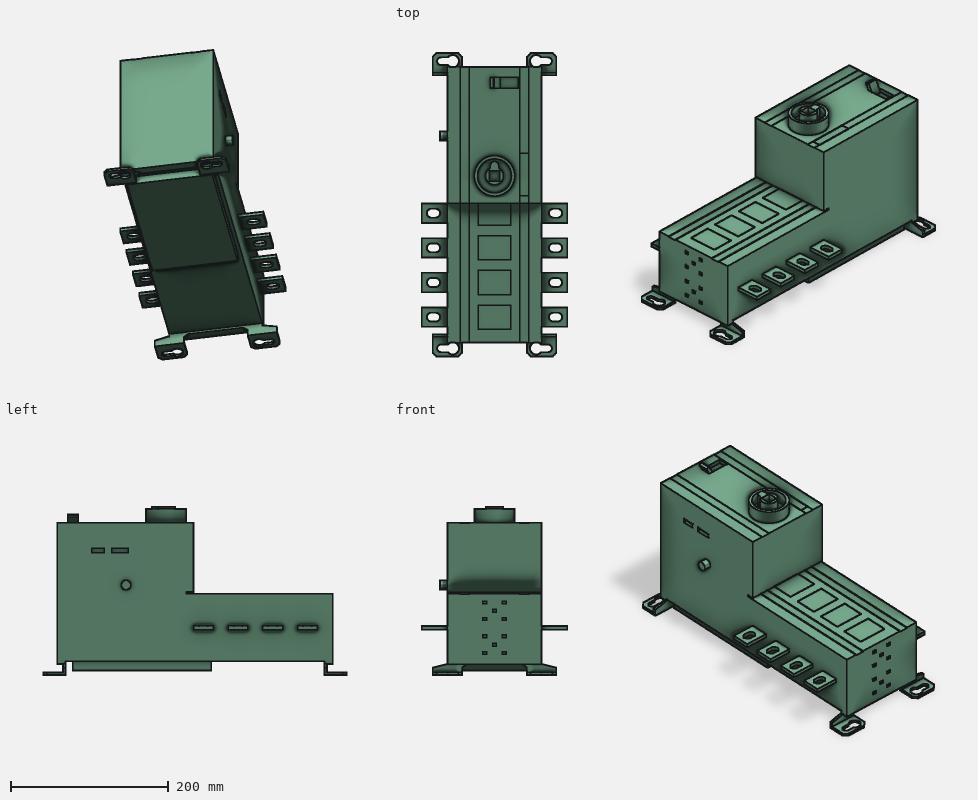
import cadquery as cq

BODY_WIDTH = 120.0
BODY_LENGTH = 350.0
BODY_TOP = 193.5
LOW_TOP = 103.3
STEP_Y = 1.8
UNDERCUT_DEPTH = 9.2
UNDERCUT_HEIGHT = 2.0
BODY_BOTTOM = 17.4
LIP_BOTTOM = 13.7

GROOVE_INNER_X = 32.0
GROOVE_OUTER_X = 43.6
TALL_GROOVE_DEPTH = 0.4
LOW_GROOVE_DEPTH = 1.0
COVER_REAR_Y = 65.2
COVER_FRONT_Y = 11.7
COVER_DEPTH = 0.4
LABEL_WIDTH = 41.0
LABEL_LENGTH = 30.6
LABEL_DEPTH = 0.5

POLE_COUNT = 4
POLE_PITCH = 44.0
FIRST_POLE_Y = -10.7
TAB_TIP_X = 92.5
TAB_WIDTH = 25.0
TAB_THICKNESS = 5.0
TAB_BOTTOM = 57.5
TAB_SLOT_X = 77.5
TAB_SLOT_LENGTH = 16.6
TAB_SLOT_WIDTH = 11.0

OVERALL_LENGTH = 385.5
SHEET = 3.5
BRACKET_OUTER_X = 78.7
BRACKET_INNER_X = 41.2
BRACKET_CORNER = 5.0
WEB_INNER_Y = 164.4
WEB_SIDE_HEIGHT = 9.4
WEB_TOP_OUTER_X = 60.0
WEB_TOP_INNER_X = 35.0
WEB_TOP = 14.1
KEYHOLE_Y = 182.3
KEYHOLE_X = 53.0
KEYHOLE_DIAMETER = 15.5
KEYHOLE_SLOT_WIDTH = 9.5
KEYHOLE_SLOT_END_X = 68.0

BASE_WIDTH = 110.0
BASE_REAR_Y = 155.3
BASE_FRONT_Y = -20.7
BASE_BOTTOM = 5.7

KNOB_Y = 36.7
KNOB_DIAMETER = 51.4
KNOB_BORE = 43.2
KNOB_TOP = 211.0
KNOB_FLOOR = 195.0
HUB_DIAMETER = 22.8
HUB_TOP = 214.0
EAR_DIAMETER = 10.8
EAR_OFFSET = 13.0
SHAFT_SQUARE = 13.5

LATCH_Y = 154.9
LATCH_WIDTH = 13.5
POCKET_LEFT_X = -1.0
POCKET_RIGHT_X = 30.0
POCKET_FLOOR = 188.0
LATCH_TOE_X = 7.5
LATCH_LEDGE_Z = 200.2
LATCH_LEDGE_INNER_X = -4.0
LATCH_LEDGE_OUTER_X = -4.6
LATCH_TIP_X = -5.6
LATCH_TIP_Z = 202.6
LATCH_CREST_X = -1.5
LATCH_CREST_WIDTH = 1.0
LATCH_TOP = 204.0

BUTTON_Y = 87.5
BUTTON_Z = 114.3
BUTTON_DIAMETER = 12.2
BUTTON_TIP_X = -69.3
SIDE_SLOTS = [(123.2, 16.0), (95.3, 20.5)]
SIDE_SLOT_Z = 158.3
SIDE_SLOT_HEIGHT = 5.8
SIDE_SLOT_DEPTH = 5.0

VENT_GROUP_Z = [81.6, 38.6]
VENT_X = 12.2
VENT_RISE = 10.5
VENT_WIDTH = 5.0
VENT_HEIGHT = 3.5
VENT_DEPTH = 3.0

HALF_WIDTH = BODY_WIDTH / 2
HALF_LENGTH = BODY_LENGTH / 2
UNDERCUT_TOP = LOW_TOP + UNDERCUT_HEIGHT
UNDERCUT_BACK_Y = STEP_Y + UNDERCUT_DEPTH
POLE_YS = [FIRST_POLE_Y - i * POLE_PITCH for i in range(POLE_COUNT)]


def block(x_range, y_range, z_range):
    """Box between the given limits on each axis."""
    sizes = [max(r) - min(r) for r in (x_range, y_range, z_range)]
    corner = (min(x_range), min(y_range), min(z_range))
    return cq.Workplane("XY").box(*sizes, centered=False).translate(corner)


def cylinder(x, y, diameter, bottom, top):
    """Upright cylinder."""
    return cq.Workplane("XY", origin=(x, y, bottom)).circle(diameter / 2).extrude(top - bottom)


def around(center, size):
    """Limits of a span centred on a coordinate."""
    return (center - size / 2, center + size / 2)


def housing():
    """Stepped side profile extruded across the width."""
    profile = [
        (HALF_LENGTH, LIP_BOTTOM),
        (HALF_LENGTH, BODY_TOP),
        (STEP_Y, BODY_TOP),
        (STEP_Y, UNDERCUT_TOP),
        (UNDERCUT_BACK_Y, UNDERCUT_TOP),
        (UNDERCUT_BACK_Y, LOW_TOP),
        (-HALF_LENGTH, LOW_TOP),
        (-HALF_LENGTH, LIP_BOTTOM),
        (-WEB_INNER_Y, LIP_BOTTOM),
        (-WEB_INNER_Y, BODY_BOTTOM),
        (WEB_INNER_Y, BODY_BOTTOM),
        (WEB_INNER_Y, LIP_BOTTOM),
    ]
    return cq.Workplane("YZ").polyline(profile).close().extrude(HALF_WIDTH, both=True)


def top_recesses():
    """Grooves along both top faces, the cover seat and the pole label recesses."""
    low_span = (-HALF_LENGTH, UNDERCUT_BACK_Y)
    tall_span = (STEP_Y, HALF_LENGTH)
    cover_span = (COVER_FRONT_Y, COVER_REAR_Y)
    right_groove = (GROOVE_INNER_X, GROOVE_OUTER_X)
    left_groove = (-GROOVE_OUTER_X, -GROOVE_INNER_X)

    seat_floor = BODY_TOP - TALL_GROOVE_DEPTH - COVER_DEPTH
    cuts = block(right_groove, cover_span, (seat_floor, BODY_TOP))
    for groove in (left_groove, right_groove):
        cuts = cuts.union(block(groove, low_span, (LOW_TOP - LOW_GROOVE_DEPTH, LOW_TOP)))
        cuts = cuts.union(block(groove, tall_span, (BODY_TOP - TALL_GROOVE_DEPTH, BODY_TOP)))
    for y in POLE_YS:
        label = block(around(0, LABEL_WIDTH), around(y, LABEL_LENGTH), (LOW_TOP - LABEL_DEPTH, LOW_TOP))
        cuts = cuts.union(label)
    return cuts


def front_vents():
    """Vents in the front face, each group laid out like the five on a die."""
    offsets = [(0, 0)]
    offsets += [(sx * VENT_X, sz * VENT_RISE) for sx in (-1, 1) for sz in (-1, 1)]
    points = [(x, z + dz) for z in VENT_GROUP_Z for x, dz in offsets]
    face = cq.Workplane("XZ", origin=(0, -HALF_LENGTH, 0))
    return face.pushPoints(points).rect(VENT_WIDTH, VENT_HEIGHT).extrude(-VENT_DEPTH)


def side_slots():
    """Blind slots in the left side face."""
    cuts = cq.Workplane("XY")
    for y, length in SIDE_SLOTS:
        depth = (-HALF_WIDTH, -HALF_WIDTH + SIDE_SLOT_DEPTH)
        cuts = cuts.union(block(depth, around(y, length), around(SIDE_SLOT_Z, SIDE_SLOT_HEIGHT)))
    return cuts


def button():
    """Push button standing out of the left side face."""
    start = cq.Workplane("YZ", origin=(BUTTON_TIP_X, BUTTON_Y, BUTTON_Z))
    return start.circle(BUTTON_DIAMETER / 2).extrude(-HALF_WIDTH - BUTTON_TIP_X)


def terminal_tabs():
    """Slotted terminal tabs on both sides of every pole."""
    tabs = cq.Workplane("XY")
    for side in (-1, 1):
        for y in POLE_YS:
            span = (side * HALF_WIDTH, side * TAB_TIP_X)
            tab = block(span, around(y, TAB_WIDTH), (TAB_BOTTOM, TAB_BOTTOM + TAB_THICKNESS))
            start = cq.Workplane("XY", origin=(side * TAB_SLOT_X, y, TAB_BOTTOM))
            tabs = tabs.union(tab.cut(start.slot2D(TAB_SLOT_LENGTH, TAB_SLOT_WIDTH).extrude(TAB_THICKNESS)))
    return tabs


def bracket():
    """Angle bracket of the +X +Y corner: a foot with a keyhole and a sloping web."""
    foot = block((BRACKET_INNER_X, BRACKET_OUTER_X), (WEB_INNER_Y, OVERALL_LENGTH / 2), (0, SHEET))
    foot = foot.edges("|Z and >Y").chamfer(BRACKET_CORNER)
    slot = block((KEYHOLE_X, KEYHOLE_SLOT_END_X), around(KEYHOLE_Y, KEYHOLE_SLOT_WIDTH), (0, SHEET))
    slot = slot.union(cylinder(KEYHOLE_SLOT_END_X, KEYHOLE_Y, KEYHOLE_SLOT_WIDTH, 0, SHEET))
    slot = slot.union(cylinder(KEYHOLE_X, KEYHOLE_Y, KEYHOLE_DIAMETER, 0, SHEET))
    outline = [
        (BRACKET_INNER_X, 0),
        (BRACKET_OUTER_X, 0),
        (BRACKET_OUTER_X, WEB_SIDE_HEIGHT),
        (WEB_TOP_OUTER_X, WEB_TOP),
        (WEB_TOP_INNER_X, WEB_TOP),
        (BRACKET_INNER_X, WEB_SIDE_HEIGHT),
    ]
    web = cq.Workplane("XZ", origin=(0, WEB_INNER_Y, 0)).polyline(outline).close().extrude(-SHEET)
    return foot.cut(slot).union(web)


def brackets():
    """The corner bracket mirrored to all four corners."""
    rear = bracket()
    rear = rear.union(rear.mirror("YZ"))
    return rear.union(rear.mirror("XZ"))


def base_plate():
    """Plate under the rear half of the housing."""
    return block(around(0, BASE_WIDTH), (BASE_FRONT_Y, BASE_REAR_Y), (BASE_BOTTOM, BODY_BOTTOM))


def handle_socket():
    """Open ring with an eared hub and a square shaft hole."""
    ring = cylinder(0, KNOB_Y, KNOB_DIAMETER, BODY_TOP, KNOB_TOP)
    ring = ring.cut(cylinder(0, KNOB_Y, KNOB_BORE, KNOB_FLOOR, KNOB_TOP))
    ear_y = KNOB_Y + EAR_OFFSET
    hub = cylinder(0, KNOB_Y, HUB_DIAMETER, KNOB_FLOOR, HUB_TOP)
    hub = hub.union(cylinder(0, ear_y, EAR_DIAMETER, KNOB_FLOOR, HUB_TOP))
    hub = hub.union(block(around(0, EAR_DIAMETER), (KNOB_Y, ear_y), (KNOB_FLOOR, HUB_TOP)))
    hole = block(around(0, SHAFT_SQUARE), around(KNOB_Y, SHAFT_SQUARE), (KNOB_FLOOR, HUB_TOP))
    return ring.union(hub.cut(hole))


def latch_pocket():
    """Pocket around the foot of the latch."""
    return block(
        (POCKET_LEFT_X, POCKET_RIGHT_X), around(LATCH_Y, LATCH_WIDTH), (POCKET_FLOOR, BODY_TOP)
    )


def latch():
    """Latch leaning out of the pocket towards -X, with a small ledge under its tip."""
    profile = [
        (POCKET_LEFT_X, POCKET_FLOOR),
        (POCKET_LEFT_X, BODY_TOP),
        (LATCH_LEDGE_INNER_X, LATCH_LEDGE_Z),
        (LATCH_LEDGE_OUTER_X, LATCH_LEDGE_Z),
        (LATCH_TIP_X, LATCH_TIP_Z),
        (LATCH_CREST_X, LATCH_TOP),
        (LATCH_CREST_X + LATCH_CREST_WIDTH, LATCH_TOP),
        (LATCH_TOE_X, POCKET_FLOOR),
    ]
    start = cq.Workplane("XZ", origin=(0, LATCH_Y, 0))
    return start.polyline(profile).close().extrude(LATCH_WIDTH / 2, both=True)


body = housing().cut(top_recesses()).cut(front_vents()).cut(side_slots()).cut(latch_pocket())
for addition in (button(), terminal_tabs(), base_plate(), brackets(), handle_socket(), latch()):
    body = body.union(addition)

result = body